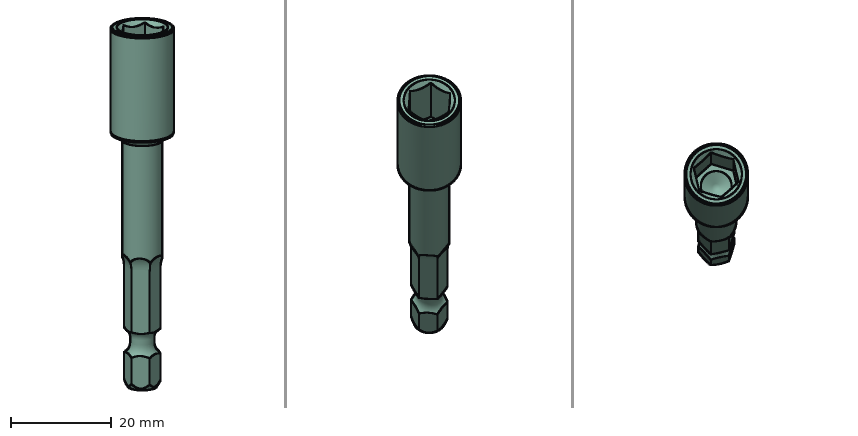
import cadquery as cq
import math

length = 75.0
head_radius = 6.34
stem_radius = 4.01

head_bottom_z = 53.25
head_edge_width = 0.4
head_edge_height = 0.3
underside_edge_width = 0.15
underside_edge_height = 0.4
head_flare_bottom_z = 51.45
head_flare_sag = 0.2

socket_flats = 8.0
socket_depth = 12.0
mouth_radius = 5.1
mouth_slope = math.radians(45)
pilot_radius = 3.1
pilot_tip_angle = math.radians(118)

hex_flats = 6.4
hex_top_z = 25.2
runout_radius = 4.9

neck_radius = 2.44
neck_bottom_z = 9.15
neck_top_z = 10.35
groove_top_radius = 1.95
groove_bottom_radius = 2.7

tip_radius = 2.9
tip_chamfer_height = 1.35

hex_apothem = hex_flats / 2
hex_corner_radius = hex_apothem / math.cos(math.radians(30))
socket_floor_z = length - socket_depth


def make_body():
    """Round stem flaring concavely into the head, bevelled at the tip and at both head edges."""
    edge_radius = head_radius - head_edge_width
    flare_end = (head_radius - underside_edge_width, head_bottom_z - underside_edge_height)
    return (
        cq.Workplane("XZ")
        .lineTo(tip_radius, 0)
        .lineTo(hex_corner_radius, tip_chamfer_height)
        .lineTo(stem_radius, hex_top_z)
        .lineTo(stem_radius, head_flare_bottom_z)
        .sagittaArc(flare_end, head_flare_sag)
        .lineTo(head_radius, head_bottom_z)
        .lineTo(head_radius, length - head_edge_height)
        .lineTo(edge_radius, length)
        .lineTo(0, length)
        .close()
        .revolve(360, (0, 0, 0), (0, 1, 0))
    )


def make_flat_cutter():
    """Block that mills one shank flat on the +Y side, with a curved run-out."""
    outer = 2 * stem_radius
    runout_z = hex_top_z + runout_radius
    bend = math.radians(45)
    bend_point = (
        hex_apothem + runout_radius * (1 - math.cos(bend)),
        hex_top_z + runout_radius * math.sin(bend),
    )
    return (
        cq.Workplane("YZ")
        .moveTo(hex_apothem, 0)
        .lineTo(hex_apothem, hex_top_z)
        .threePointArc(bend_point, (hex_apothem + runout_radius, runout_z))
        .lineTo(outer, runout_z)
        .lineTo(outer, 0)
        .close()
        .extrude(stem_radius, both=True)
    )


def flank_point(flank_radius, angle):
    """Radius and axial distance from the neck after turning by angle along a groove flank."""
    radius = neck_radius + flank_radius * (1 - math.cos(angle))
    rise = flank_radius * math.sin(angle)
    return radius, rise


def make_groove_cutter():
    """Ring with a straight neck between two quarter-round flanks of different radii."""
    bend = math.radians(45)
    top_bend_radius, top_rise = flank_point(groove_top_radius, bend)
    bottom_bend_radius, bottom_rise = flank_point(groove_bottom_radius, bend)
    top_end = (neck_radius + groove_top_radius, neck_top_z + groove_top_radius)
    bottom_end = (neck_radius + groove_bottom_radius, neck_bottom_z - groove_bottom_radius)
    return (
        cq.Workplane("XZ")
        .moveTo(neck_radius, neck_bottom_z)
        .lineTo(neck_radius, neck_top_z)
        .threePointArc((top_bend_radius, neck_top_z + top_rise), top_end)
        .lineTo(*bottom_end)
        .threePointArc((bottom_bend_radius, neck_bottom_z - bottom_rise), (neck_radius, neck_bottom_z))
        .close()
        .revolve(360, (0, 0, 0), (0, 1, 0))
    )


def make_cone(radius, top_z, depth):
    """Cone pointing down from a circle at top_z."""
    return cq.Workplane(cq.Solid.makeCone(0, radius, depth, cq.Vector(0, 0, top_z - depth)))


def make_socket_cutter():
    """Hexagonal recess with a conical mouth and a drill-point floor."""
    socket_corners = socket_flats / math.cos(math.radians(30))
    recess = (
        cq.Workplane("XY", origin=(0, 0, socket_floor_z))
        .transformed(rotate=(0, 0, 90))
        .polygon(6, socket_corners)
        .extrude(socket_depth)
    )
    mouth = make_cone(mouth_radius, length, mouth_radius * math.tan(mouth_slope))
    pilot = make_cone(pilot_radius, socket_floor_z, pilot_radius / math.tan(pilot_tip_angle / 2))
    return recess.union(mouth).union(pilot)


result = make_body()
flat_cutter = make_flat_cutter()
for side in range(6):
    result = result.cut(flat_cutter.rotate((0, 0, 0), (0, 0, 1), 60 * side))
result = result.cut(make_groove_cutter()).cut(make_socket_cutter())